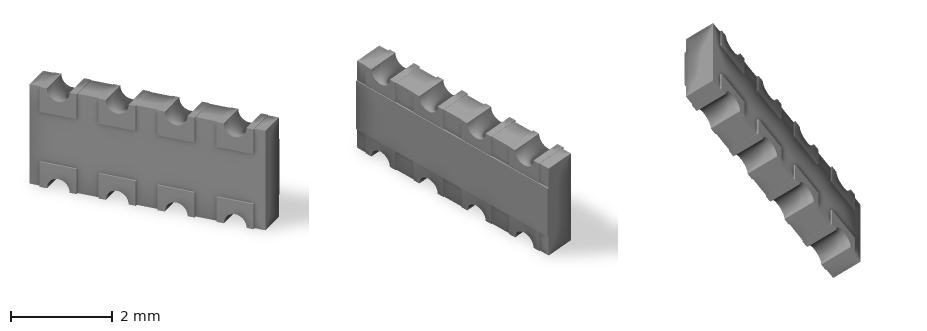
import cadquery as cq

LENGTH = 5.08
DEPTH = 0.72
HEIGHT = 2.2

COVER_THICKNESS = 0.03
FRONT_PLATING = 0.04
BACK_PLATING = 0.015
EDGE_PLATING = 0.005

TERMINALS_PER_EDGE = 4
PITCH = LENGTH / TERMINALS_PER_EDGE
TERMINAL_WIDTH = 0.8
FRONT_PAD_HEIGHT = 0.55
NOTCH_RADIUS = 0.245

COVER_HEIGHT = 1.22

FRONT_Y = -DEPTH / 2
SUBSTRATE_FRONT_Y = FRONT_Y + FRONT_PLATING
SUBSTRATE_BACK_Y = DEPTH / 2 - COVER_THICKNESS
TERMINAL_BACK_Y = SUBSTRATE_BACK_Y + BACK_PLATING
TOP_Z = HEIGHT / 2
SUBSTRATE_TOP_Z = TOP_Z - EDGE_PLATING
terminal_x_positions = [(i - (TERMINALS_PER_EDGE - 1) / 2) * PITCH for i in range(TERMINALS_PER_EDGE)]


def block(x_range, y_range, z_range):
    """Box spanning the given (low, high) limits."""
    limits = (x_range, y_range, z_range)
    sizes = [high - low for low, high in limits]
    corner = tuple(low for low, high in limits)
    return cq.Workplane("XY").box(*sizes, centered=False).translate(corner)


def notch_cutter(x, z, radius):
    """Cylinder along Y, longer than the part is deep."""
    return cq.Workplane("XZ").center(x, z).circle(radius).extrude(2 * DEPTH).translate((0, DEPTH, 0))


def make_substrate():
    substrate = block(
        (-LENGTH / 2, LENGTH / 2),
        (SUBSTRATE_FRONT_Y, SUBSTRATE_BACK_Y),
        (-SUBSTRATE_TOP_Z, SUBSTRATE_TOP_Z),
    )
    for x in terminal_x_positions:
        for z in (-SUBSTRATE_TOP_Z, SUBSTRATE_TOP_Z):
            substrate = substrate.cut(notch_cutter(x, z, NOTCH_RADIUS + EDGE_PLATING))
    return substrate


def make_cover():
    return block(
        (-LENGTH / 2, LENGTH / 2),
        (SUBSTRATE_BACK_Y, DEPTH / 2),
        (-COVER_HEIGHT / 2, COVER_HEIGHT / 2),
    )


def make_top_terminal(x, substrate):
    """Plating that wraps the top edge, with pads on the front and back faces."""
    x_range = (x - TERMINAL_WIDTH / 2, x + TERMINAL_WIDTH / 2)
    front = block(x_range, (FRONT_Y, SUBSTRATE_FRONT_Y), (TOP_Z - FRONT_PAD_HEIGHT, TOP_Z))
    wrap = block(x_range, (SUBSTRATE_FRONT_Y, TERMINAL_BACK_Y), (COVER_HEIGHT / 2, TOP_Z))
    terminal = front.union(wrap.cut(substrate))
    return terminal.cut(notch_cutter(x, SUBSTRATE_TOP_Z, NOTCH_RADIUS))


substrate = make_substrate()
cover = make_cover()
terminals = []
for x in terminal_x_positions:
    top_terminal = make_top_terminal(x, substrate)
    terminals.append(top_terminal.solids().val())
    terminals.append(top_terminal.mirror("XY").solids().val())

result = cq.Compound.makeCompound([substrate.solids().val(), cover.val(), *terminals])